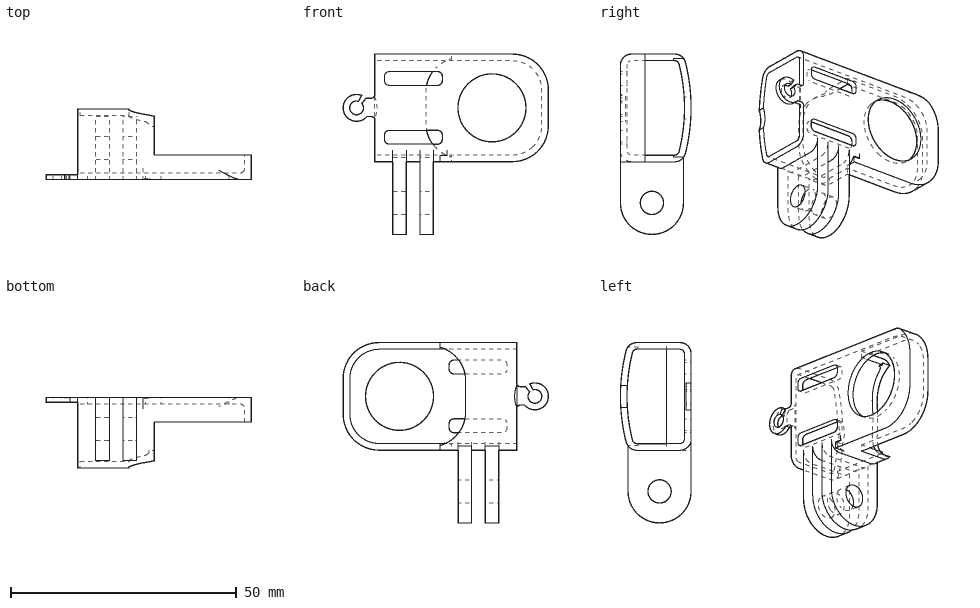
import cadquery as cq
import math


length = 45.5
body_left = 7.0
sleeve_right = 23.97
height = 23.9
depth = 15.7
rail_depth = 5.5
wall = 1.5
section_radius = 2.5
back_radius = 40.95
end_radius = 8.0
half_height = height / 2

window_diameter = 15.0
window_x = 33.0
relief_left = 18.35
relief_half_height = 11.2
relief_radius = 7.82
relief_front = 11.85
finger_notch_half_height = 2.45
finger_notch_depth = 0.5

slot_left = 9.2
slot_length = 12.8
slot_height = 3.0
slot_offset = 6.5
slot_radius = 1.0

fill_left = 21.43
fill_step_left = 22.95
fill_step_z = -10.5

prong_width = 3.0
prong_left = 11.0
prong_pitch = 2 * prong_width
prong_count = 2
prong_depth = 14.0
prong_hole_diameter = 5.1
overall_height = 40.0
prong_radius = prong_depth / 2
prong_centre_z = half_height - overall_height + prong_radius

clip_thickness = 1.15
ring_radius = 3.0
ring_hole_radius = 1.5
neck_top = 2.2
neck_bottom = -1.95
neck_fillet = 0.75
mouth_points = [(3.35, 1.3), (4.3, 3.05), (5.15, 3.05), (5.15, neck_top), (4.2, 1.05), (3.65, 0.9)]

margin = 4.55


def box(x_min, x_max, y_min, y_max, z_min, z_max):
    return cq.Workplane("XY").box(
        x_max - x_min, y_max - y_min, z_max - z_min, centered=False
    ).translate((x_min, y_min, z_min))


def front_plane(y):
    """Sketch plane with axes X and Z; a negative extrusion goes towards +Y."""
    return cq.Workplane(cq.Plane(origin=(0, y, 0), xDir=(1, 0, 0), normal=(0, -1, 0)))


def section_prism(inset, x_min):
    """Sleeve section with a bowed back, shrunk by inset, drawn out along X."""
    half = half_height - inset
    radius = back_radius - inset
    back = depth - inset
    back_corner = back - radius + math.sqrt(radius**2 - half**2)
    return (
        cq.Workplane("YZ", origin=(x_min, 0, 0))
        .moveTo(inset, -half)
        .lineTo(back_corner, -half)
        .threePointArc((back, 0), (back_corner, half))
        .lineTo(inset, half)
        .close()
        .extrude(length - x_min)
        .edges("|X")
        .fillet(section_radius - inset)
    )


def rounded_end(inset, x_min):
    """Block with the large rounded right end, shrunk by inset."""
    block = box(x_min, length - inset, inset, depth, inset - half_height, half_height - inset)
    return block.edges("|Y and >X").fillet(end_radius - inset)


def make_shell():
    outline = rounded_end(0, body_left)
    shell = section_prism(0, body_left).intersect(outline)

    fill = box(fill_left, length, 0, section_radius, -half_height, fill_step_z)
    fill_top = section_radius - half_height
    fill = fill.union(box(fill_step_left, length, 0, section_radius, -half_height, fill_top))
    shell = shell.union(fill.intersect(outline))

    shell = shell.cut(
        box(sleeve_right, length + margin, rail_depth, depth + margin, -height, height)
    )
    return shell


def make_cavity():
    pan = rounded_end(wall, body_left - margin)
    pan = pan.faces("<Y").edges().fillet(section_radius - wall)
    return pan.intersect(section_prism(wall, body_left - margin))


def cut_openings(body):
    window = front_plane(0).center(window_x, 0).circle(window_diameter / 2).extrude(-rail_depth)
    relief = box(relief_left, length, relief_front, depth, -relief_half_height, relief_half_height)
    relief = relief.edges("|Y and <X").fillet(relief_radius)
    body = body.cut(window).cut(relief)

    for z in (-slot_offset, slot_offset):
        slot = box(
            slot_left, slot_left + slot_length, 0, wall, z - slot_height / 2, z + slot_height / 2
        )
        body = body.cut(slot.edges("|Y").fillet(slot_radius))

    finger_notch = (
        front_plane(rail_depth)
        .moveTo(body_left, -finger_notch_half_height)
        .threePointArc(
            (body_left + finger_notch_depth, 0), (body_left, finger_notch_half_height)
        )
        .close()
        .extrude(-depth)
    )
    return body.cut(finger_notch)


def make_prong(x_min):
    return (
        cq.Workplane("YZ", origin=(x_min, 0, 0))
        .moveTo(0, section_radius - half_height)
        .lineTo(0, prong_centre_z)
        .threePointArc((prong_radius, prong_centre_z - prong_radius), (prong_depth, prong_centre_z))
        .lineTo(prong_depth, section_radius - half_height)
        .close()
        .moveTo(prong_radius, prong_centre_z)
        .circle(prong_hole_diameter / 2)
        .extrude(prong_width)
    )


def make_clip():
    ring = front_plane(0).center(ring_radius, 0).circle(ring_radius).extrude(-clip_thickness)
    neck = box(ring_radius, body_left, 0, clip_thickness, neck_bottom, neck_top)
    hole = front_plane(0).center(ring_radius, 0).circle(ring_hole_radius)
    mouth = (
        front_plane(0)
        .polyline(mouth_points)
        .close()
    )
    clip = ring.union(neck).cut(hole.extrude(-clip_thickness)).cut(mouth.extrude(-clip_thickness))

    for z, side in ((neck_top, 1), (neck_bottom, -1)):
        corner = (
            front_plane(0)
            .moveTo(body_left, z)
            .lineTo(body_left, z + side * neck_fillet)
            .radiusArc((body_left - neck_fillet, z), side * neck_fillet)
            .close()
            .extrude(-clip_thickness)
        )
        clip = clip.union(corner)
    return clip


result = make_shell()
for index in range(prong_count):
    result = result.union(make_prong(prong_left + index * prong_pitch))
result = cut_openings(result.cut(make_cavity()))
result = result.union(make_clip())